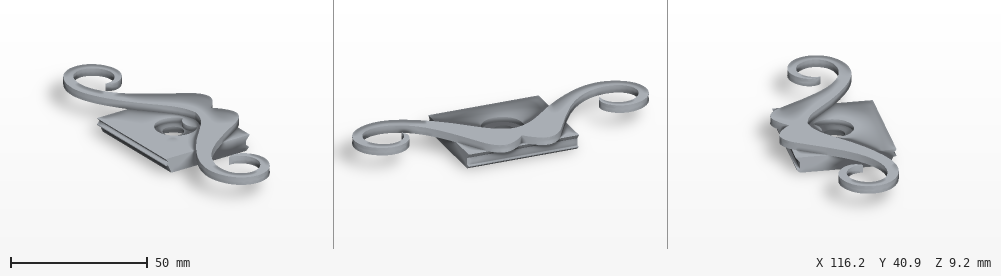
import cadquery as cq


plate_length = 43.8
plate_thickness = 6.2
plate_half_width = 18.8
bottom_front_y = -16.2
bottom_back_y = 17.2

front_groove_y = -17.7
front_groove_z = -1.4
front_lip_y = -18.7
front_lip_top_z = -2.4
front_lip_bottom_z = -2.8

back_channel_top_z = -2.0
back_lip_y = 18.4
back_lip_top_z = -4.8
back_lip_bottom_z = -5.1

hole_diameter = 7.9
recess_diameter = 15.8
recess_x = 0.7
recess_y = 0.6
recess_depth = 2.0
web_thickness = 1.2
bite_radius = 5.8
bite_x = 0.9
bite_bottom_y = 4.5

moustache_thickness = 3.0
half_span = 58.1
notch = (0, 16.9)
lower_middle = (0, 9.9)
curl_tip = (-39.4, -2.8)

upper_edge = [
    notch,
    (-4.3, 20.6),
    (-8.5, 22.1),
    (-13.0, 20.1),
    (-16.7, 15.1),
    (-21.6, 7.3),
    (-31.0, -4.4),
    (-38.8, -9.3),
    (-45.2, -10.5),
    (-52.4, -7.8),
    (-54.4, -3.1),
    (-50.7, 3.4),
    (-46.3, 4.6),
    (-41.8, 3.0),
    curl_tip,
]
lower_edge = [
    curl_tip,
    (-38.2, 1.6),
    (-41.5, 6.0),
    (-47.0, 7.8),
    (-52.9, 6.0),
    (-56.6, 2.4),
    (-half_span, -2.8),
    (-56.6, -8.4),
    (-51.6, -12.9),
    (-43.2, -14.9),
    (-30.1, -10.6),
    (-15.2, 0.6),
    (-7.3, 7.2),
    lower_middle,
]


def make_recess():
    """Round recess cutter, less the arched bite."""
    recess = (
        cq.Workplane("XY", origin=(recess_x, recess_y, -recess_depth))
        .circle(recess_diameter / 2)
        .extrude(recess_depth)
    )
    bite = (
        cq.Workplane("XY", origin=(bite_x, bite_bottom_y + bite_radius, -recess_depth))
        .circle(bite_radius)
        .extrude(recess_depth)
    )
    return recess.cut(bite)


def make_pocket():
    """Round pocket cutter under the screw hole, as wide as the recess above."""
    pocket_depth = plate_thickness - recess_depth - web_thickness
    return (
        cq.Workplane("XY", origin=(0, 0, -plate_thickness))
        .circle(recess_diameter / 2)
        .extrude(pocket_depth)
    )


def make_plate():
    """Plate with shaped front and back edges, a screw hole, a recess and a pocket."""
    profile = [
        (-plate_half_width, 0),
        (front_groove_y, front_groove_z),
        (front_lip_y, front_lip_top_z),
        (front_lip_y, front_lip_bottom_z),
        (front_groove_y, front_lip_bottom_z),
        (bottom_front_y, -plate_thickness),
        (bottom_back_y, -plate_thickness),
        (back_lip_y, back_lip_bottom_z),
        (back_lip_y, back_lip_top_z),
        (bottom_back_y, back_lip_top_z),
        (bottom_back_y, back_channel_top_z),
        (plate_half_width, 0),
    ]
    blank = cq.Workplane("YZ").polyline(profile).close().extrude(plate_length / 2, both=True)
    hole = (
        cq.Workplane("XY", origin=(0, 0, -plate_thickness))
        .circle(hole_diameter / 2)
        .extrude(plate_thickness)
    )
    return blank.cut(hole).cut(make_recess()).cut(make_pocket())


def make_moustache():
    """Flat moustache: a left half with a curled tip, mirrored to the right."""
    left_half = (
        cq.Workplane("XY")
        .moveTo(*notch)
        .spline(upper_edge[1:], includeCurrent=True)
        .spline(lower_edge[1:], includeCurrent=True)
        .close()
        .extrude(moustache_thickness)
    )
    return left_half.union(left_half.mirror("YZ"))


plate = make_plate()
moustache = make_moustache()
result = cq.Compound.makeCompound([plate.val(), moustache.val()])